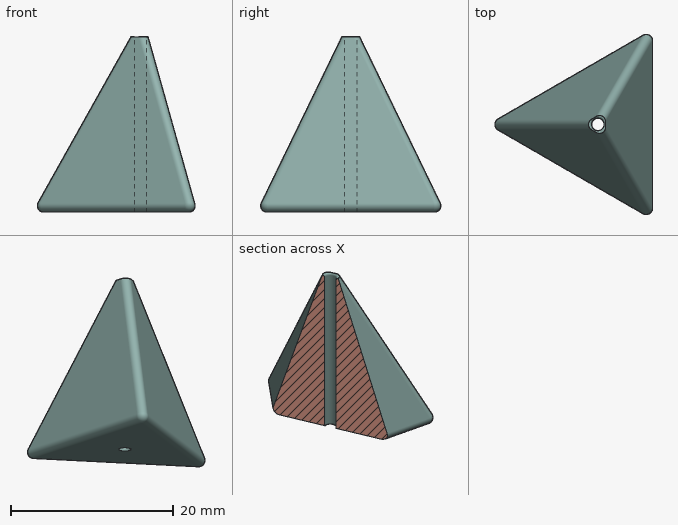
import cadquery as cq
import math

base_corner_radius = 14.0
sharp_height = 25.0
corner_angles = (180, 300, 60)
edge_radius = 0.8
cut_height = 21.6
hole_diameter = 1.5
mouth_radius = 0.3


def base_corner(angle_degrees):
    angle = math.radians(angle_degrees)
    return cq.Vector(
        base_corner_radius * math.cos(angle),
        base_corner_radius * math.sin(angle),
        0,
    )


def triangle_face(a, b, c):
    return cq.Face.makeFromWires(cq.Wire.makePolygon([a, b, c], close=True))


def sharp_pyramid():
    """Three-sided pyramid with one base corner on -X and a base side facing +X."""
    apex = cq.Vector(0, 0, sharp_height)
    corners = [base_corner(angle) for angle in corner_angles]
    faces = [triangle_face(*corners)]
    for corner, next_corner in zip(corners, corners[1:] + corners[:1]):
        faces.append(triangle_face(corner, next_corner, apex))
    return cq.Workplane(cq.Solid.makeSolid(cq.Shell.makeShell(faces)).fix())


def apex_cutter():
    """Block covering everything above the flat top."""
    side = 2 * base_corner_radius
    return cq.Workplane().workplane(offset=cut_height).rect(side, side).extrude(sharp_height)


def axial_hole():
    """Cutter for the through hole, flaring in a convex arc where it meets the flat top."""
    hole_radius = hole_diameter / 2
    rim_radius = hole_radius + mouth_radius
    arc_start_height = cut_height - mouth_radius
    arc_middle = (
        rim_radius - mouth_radius * math.cos(math.pi / 4),
        arc_start_height + mouth_radius * math.sin(math.pi / 4),
    )
    return (
        cq.Workplane("XZ")
        .lineTo(hole_radius, 0)
        .lineTo(hole_radius, arc_start_height)
        .threePointArc(arc_middle, (rim_radius, cut_height))
        .lineTo(0, cut_height)
        .close()
        .revolve(360, (0, 0, 0), (0, 1, 0))
    )


rounded_pyramid = sharp_pyramid().edges().fillet(edge_radius)
result = rounded_pyramid.cut(apex_cutter()).cut(axial_hole())